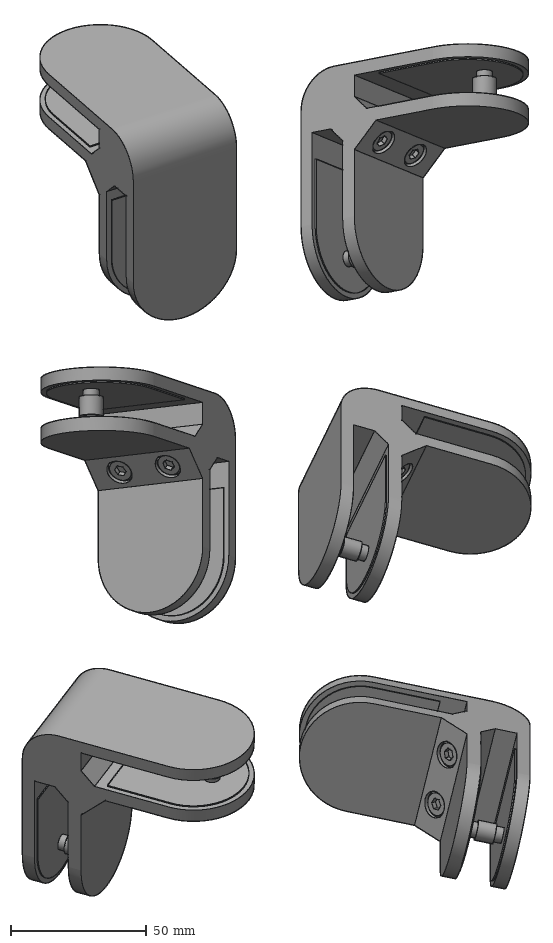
import cadquery as cq
import math


arm_reach = 82.0
width = 45.0
fork_depth = 24.0
outer_plate = 5.0
inner_plate = 5.25
corner_radius = 15.0
slot_chamfer = 5.5
inner_chamfer = 9.75
slot_inner = fork_depth - inner_plate
slot_width = slot_inner - outer_plate

pad_margin = 2.0
pad_thickness = 0.5
pad_start = fork_depth + inner_chamfer
pad_width = width - 2 * pad_margin
pad_end = arm_reach - pad_margin

pin_reach = 67.0
post_reach = 67.4
stem_diameter = 6.0
pin_sleeve_diameter = 9.0
pin_sleeve_length = 7.3
post_sleeve_diameter = 7.6
post_sleeve_length = 6.9

screw_spacing = 20.8
bore_diameter = 10.0
head_diameter = bore_diameter
head_height = 5.0
head_chamfer = 0.7
head_recess = 0.9
shank_diameter = 5.0
shank_length = 12.0
socket_flats = 4.0
socket_depth = 2.0
socket_turns = {1: -12.0, -1: 0.0}
bore_depth = head_recess + head_height
screw_foot = fork_depth + inner_chamfer / 2


def to_z_arm(body):
    """Mirror a body of the X arm across the plane X = Z, onto the Z arm."""
    return body.mirror(cq.Vector(1, 0, -1))


def rounded_tongue(start, end, tongue_width, top, thickness):
    """Plate of the X arm with a half-round tip, reaching down from Z = top."""
    radius = tongue_width / 2
    return (
        cq.Workplane("XY", origin=(0, 0, top - thickness))
        .moveTo(-start, -radius)
        .lineTo(radius - end, -radius)
        .threePointArc((-end, 0), (radius - end, radius))
        .lineTo(-start, radius)
        .close()
        .extrude(thickness)
    )


def slot_cylinder(reach, diameter, length):
    """Upright cylinder in the X arm, centred on the middle of the slot."""
    bottom = -(outer_plate + slot_width / 2) - length / 2
    return cq.Workplane("XY", origin=(-reach, 0, bottom)).circle(diameter / 2).extrude(length)


def pin(reach, sleeve_diameter, sleeve_length):
    """Pin of the X arm, reaching from plate to plate."""
    stem = slot_cylinder(reach, stem_diameter, slot_width)
    return stem.union(slot_cylinder(reach, sleeve_diameter, sleeve_length))


def pads(reach):
    """The two pads of the X arm, pierced by the pin."""
    hole = slot_cylinder(reach, stem_diameter, slot_width)
    tops = (-outer_plate, pad_thickness - slot_inner)
    return [rounded_tongue(pad_start, pad_end, pad_width, top, pad_thickness).cut(hole) for top in tops]


def screw_plane(side, depth):
    """Plane square to a screw axis, at a depth below the chamfer face, with its normal going inwards."""
    place = depth * math.sqrt(0.5) - screw_foot
    return cq.Plane(origin=(place, side * screw_spacing / 2, place), xDir=(0, 1, 0), normal=(1, 0, 1))


def screw(side):
    head = cq.Workplane(screw_plane(side, head_recess)).circle(head_diameter / 2).extrude(head_height)
    head = head.faces("<(1, 0, 1)").chamfer(head_chamfer)
    shank = cq.Workplane(screw_plane(side, bore_depth)).circle(shank_diameter / 2).extrude(shank_length)
    socket = (
        cq.Workplane(screw_plane(side, head_recess))
        .transformed(rotate=(0, 0, socket_turns[side]))
        .polygon(6, socket_flats, circumscribed=True)
        .extrude(socket_depth)
    )
    return head.union(shank).cut(socket)


def screw_hole(side):
    bore = cq.Workplane(screw_plane(side, 0)).circle(bore_diameter / 2).extrude(bore_depth)
    shank = cq.Workplane(screw_plane(side, bore_depth)).circle(shank_diameter / 2).extrude(shank_length)
    return bore.union(shank)


def fork_profile():
    arc_middle = -corner_radius * (1 - math.sqrt(0.5))
    return (
        cq.Workplane("XZ")
        .moveTo(-arm_reach, 0)
        .lineTo(-corner_radius, 0)
        .threePointArc((arc_middle, arc_middle), (0, -corner_radius))
        .lineTo(0, -arm_reach)
        .lineTo(-outer_plate, -arm_reach)
        .lineTo(-outer_plate, -fork_depth)
        .lineTo(slot_chamfer - slot_inner, -fork_depth)
        .lineTo(-slot_inner, -fork_depth - slot_chamfer)
        .lineTo(-slot_inner, -arm_reach)
        .lineTo(-fork_depth, -arm_reach)
        .lineTo(-fork_depth, -fork_depth - inner_chamfer)
        .lineTo(-fork_depth - inner_chamfer, -fork_depth)
        .lineTo(-arm_reach, -fork_depth)
        .lineTo(-arm_reach, -slot_inner)
        .lineTo(-fork_depth - slot_chamfer, -slot_inner)
        .lineTo(-fork_depth, slot_chamfer - slot_inner)
        .lineTo(-fork_depth, -outer_plate)
        .lineTo(-arm_reach, -outer_plate)
        .close()
    )


def bracket():
    """Both forks and the corner block, with the half-round arm tips, the screw holes and the fixed post."""
    body = fork_profile().extrude(width / 2, both=True)
    x_arm_outline = rounded_tongue(0, arm_reach, width, 0, arm_reach)
    body = body.intersect(x_arm_outline).intersect(to_z_arm(x_arm_outline))
    for side in socket_turns:
        body = body.cut(screw_hole(side))
    post = to_z_arm(pin(post_reach, post_sleeve_diameter, post_sleeve_length))
    return body.union(post)


x_arm_pin = pin(pin_reach, pin_sleeve_diameter, pin_sleeve_length)
x_arm_pads = pads(pin_reach)
z_arm_pads = [to_z_arm(pad) for pad in pads(post_reach)]
screws = [screw(side) for side in socket_turns]
result = cq.Compound.makeCompound(
    [body.val() for body in [bracket(), x_arm_pin, *x_arm_pads, *z_arm_pads, *screws]]
)